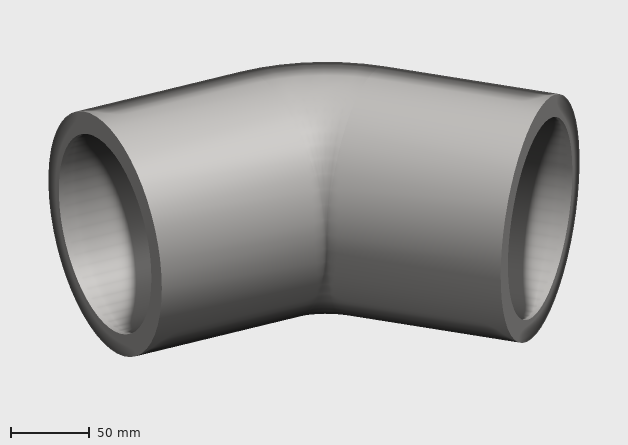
import cadquery as cq

outer_diameter = 160.0
bore_diameter = 130.7
bend_angle = 45
bend_radius = 81.3
end_length = 116.3



def pipe_section():
    """Ring-shaped pipe section at the start of the bend."""
    return (
        cq.Workplane("XZ")
        .center(-bend_radius, 0)
        .circle(outer_diameter / 2)
        .circle(bore_diameter / 2)
    )


first_end = pipe_section().extrude(end_length)

bend = pipe_section().revolve(bend_angle, (bend_radius, 0), (bend_radius, -1))

second_end = (
    pipe_section()
    .extrude(-end_length)
    .rotate((0, 0, 0), (0, 0, 1), -bend_angle)
)

result = first_end.union(bend).union(second_end)